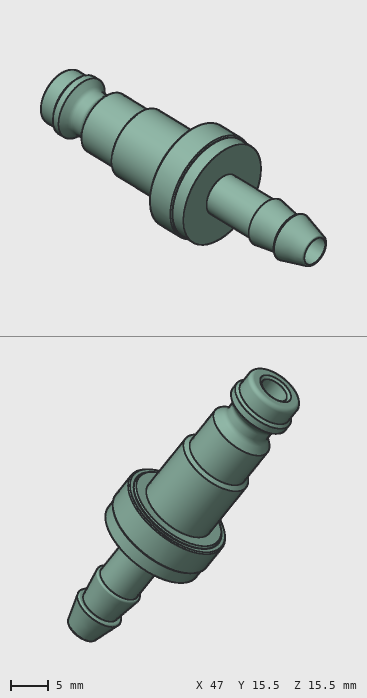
import cadquery as cq
import math

TIP_ROUND = 0.6
NOSE_END = 2.65
BEAD_START = 3.0
BEAD_END = 4.05
BODY_START = 8.25
SHOULDER_START = 14.05
SHOULDER_END = 14.48
LIP_FACE = 23.5
RING_START = 23.85
RING_END = 27.95
FLANGE_END = 29.95
FIRST_BARB = 37.98
SECOND_BARB = 42.55
LENGTH = 47.0

BORE_R = 4.0 / 2
BORE_MOUTH_R = 4.95 / 2
NOSE_R = 8.1 / 2
BODY_R = 9.0 / 2
GROOVE_R = 6.65 / 2
SHOULDER_R = 10.4 / 2
LIP_R = 14.0 / 2
SEAT_R = 13.85 / 2
RING_R = 15.5 / 2
FLANGE_R = 15.0 / 2
STEM_R = 6.05 / 2
BARB_R = 3.5
BARB_WAIST_R = 2.75
OUTLET_R = 2.35

GROOVE_FILLET = 1.0
LIP_CHAMFER = 0.25
MOUTH_DEPTH = 0.3
RING_CHAMFER = 0.2
BARB_ROUND = 0.3
OUTLET_ROUND = 0.25

DIAGONAL = math.sqrt(0.5)


def revolve_about_x(profile):
    """Close a half profile and turn it around the X axis."""
    return profile.close().revolve(360, (0, 0, 0), (1, 0, 0))


def draw_locking_groove(profile):
    """Add the groove: 45 degree flanks blended into a cylindrical floor."""
    drop = BODY_R - GROOVE_R
    blend_run = GROOVE_FILLET * DIAGONAL
    blend_rise = GROOVE_FILLET - blend_run
    flank = drop - blend_rise
    mid_run = GROOVE_FILLET * math.sin(math.pi / 8)
    mid_rise = GROOVE_FILLET * (1 - math.cos(math.pi / 8))
    floor_start = BEAD_END + flank + blend_run
    floor_end = BODY_START - flank - blend_run
    return (
        profile.lineTo(BEAD_END, BODY_R)
        .lineTo(BEAD_END + flank, GROOVE_R + blend_rise)
        .threePointArc((floor_start - mid_run, GROOVE_R + mid_rise), (floor_start, GROOVE_R))
        .lineTo(floor_end, GROOVE_R)
        .threePointArc(
            (floor_end + mid_run, GROOVE_R + mid_rise),
            (BODY_START - flank, GROOVE_R + blend_rise),
        )
        .lineTo(BODY_START, BODY_R)
    )


def draw_barb(profile, start, end, end_radius):
    """Add one hose barb with a rounded crest and a tapering back."""
    crest_offset = BARB_ROUND * (1 - DIAGONAL)
    return (
        profile.lineTo(start, BARB_R - BARB_ROUND)
        .threePointArc(
            (start + crest_offset, BARB_R - crest_offset),
            (start + BARB_ROUND, BARB_R),
        )
        .lineTo(end, end_radius)
    )


def make_fitting():
    """Plug, flange and barbed hose tail with a through bore."""
    tip_offset = TIP_ROUND * (1 - DIAGONAL)
    outlet_offset = OUTLET_ROUND * (1 - DIAGONAL)
    profile = (
        cq.Workplane("XY")
        .moveTo(MOUTH_DEPTH, BORE_R)
        .lineTo(0, BORE_MOUTH_R)
        .lineTo(0, NOSE_R - TIP_ROUND)
        .threePointArc((tip_offset, NOSE_R - tip_offset), (TIP_ROUND, NOSE_R))
        .lineTo(NOSE_END, NOSE_R)
        .lineTo(BEAD_START, BODY_R)
    )
    profile = draw_locking_groove(profile)
    profile = (
        profile.lineTo(SHOULDER_START, BODY_R)
        .lineTo(SHOULDER_END, SHOULDER_R)
        .lineTo(LIP_FACE, SHOULDER_R)
        .lineTo(LIP_FACE, LIP_R - LIP_CHAMFER)
        .lineTo(LIP_FACE + LIP_CHAMFER, LIP_R)
        .lineTo(RING_START, LIP_R)
        .lineTo(RING_START, SEAT_R)
        .lineTo(RING_END, SEAT_R)
        .lineTo(RING_END, FLANGE_R)
        .lineTo(FLANGE_END, FLANGE_R)
        .lineTo(FLANGE_END, STEM_R)
        .lineTo(FIRST_BARB, STEM_R)
    )
    profile = draw_barb(profile, FIRST_BARB, SECOND_BARB, BARB_WAIST_R)
    profile = draw_barb(profile, SECOND_BARB, LENGTH - OUTLET_ROUND, OUTLET_R)
    profile = profile.threePointArc(
        (LENGTH - outlet_offset, OUTLET_R - outlet_offset),
        (LENGTH, OUTLET_R - OUTLET_ROUND),
    ).lineTo(LENGTH, BORE_R)
    return revolve_about_x(profile)


def make_ring():
    """Chamfered ring held between the lip and the flange."""
    profile = (
        cq.Workplane("XY")
        .moveTo(RING_START, SEAT_R)
        .lineTo(RING_START, RING_R - RING_CHAMFER)
        .lineTo(RING_START + RING_CHAMFER, RING_R)
        .lineTo(RING_END - RING_CHAMFER, RING_R)
        .lineTo(RING_END, RING_R - RING_CHAMFER)
        .lineTo(RING_END, SEAT_R)
    )
    return revolve_about_x(profile)


fitting = make_fitting()
ring = make_ring()

result = cq.Compound.makeCompound([fitting.val(), ring.val()])